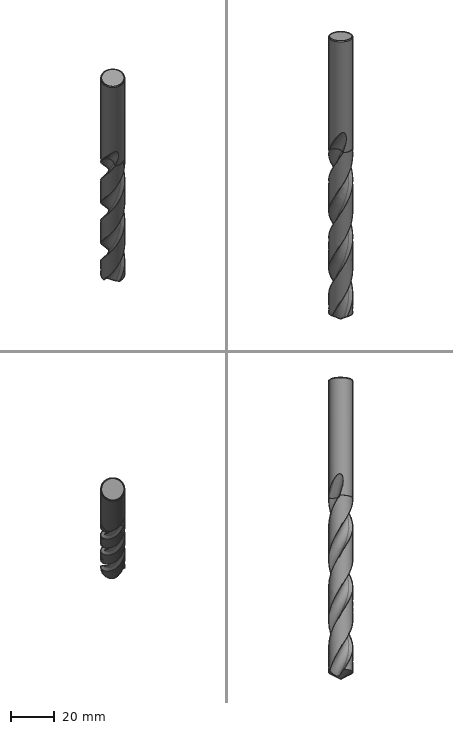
import cadquery as cq
import math

LENGTH = 142.0
DIAMETER = 11.1
RADIUS = DIAMETER / 2
POINT_ANGLE = 118.0
POINT_HEIGHT = RADIUS / math.tan(math.radians(POINT_ANGLE / 2))
BODY_TOP = 85.9
SHANK_CHAMFER = 0.4

FLUTE_COUNT = 2
FLUTE_PITCH = 57.4
FLUTE_HALF_OPENING = 40.0
FLUTE_FLOOR_RADIUS = 1.8
LIP_ROOT_RADIUS = 3.7
LIP_ROOT_ANGLE = 37.0
CUTTER_OVERSIZE = 2.8
ENVELOPE_SCALE = 2.0
TOP_DIRECTION = -90.0

RUNOUT_HEIGHT = 14.2
RUNOUT_SIDE_SLOPE = 2 * math.pi * RADIUS / FLUTE_PITCH
RUNOUT_RISE_SLOPE = 0.15


def polar(radius, degrees):
    angle = math.radians(degrees)
    return (radius * math.cos(angle), radius * math.sin(angle))


def turned(outline):
    """Revolve a half outline of (radius, height) points about Z."""
    return cq.Workplane("XZ").polyline(outline).close().revolve(360, (0, 0), (0, 1))


def flute_section(direction, height):
    """Closed section of one flute cutter, opening toward the given direction."""
    outside = (RADIUS + CUTTER_OVERSIZE) / math.cos(math.radians(FLUTE_HALF_OPENING))
    return (
        cq.Workplane("XY", origin=(0, 0, height))
        .transformed(rotate=(0, 0, direction))
        .moveTo(*polar(outside, -FLUTE_HALF_OPENING))
        .lineTo(*polar(RADIUS, -FLUTE_HALF_OPENING))
        .threePointArc((FLUTE_FLOOR_RADIUS, 0), polar(LIP_ROOT_RADIUS, LIP_ROOT_ANGLE))
        .lineTo(*polar(RADIUS, FLUTE_HALF_OPENING))
        .lineTo(*polar(outside, FLUTE_HALF_OPENING))
        .close()
    )


def flute_runout(top_direction):
    outward = cq.Vector(*polar(RUNOUT_RISE_SLOPE, top_direction))
    sideways = cq.Vector(*polar(RUNOUT_SIDE_SLOPE, top_direction + 90))
    path = (outward + sideways + cq.Vector(0, 0, 1)) * RUNOUT_HEIGHT
    section = flute_section(top_direction, BODY_TOP).wires().val()
    return cq.Workplane(cq.Solid.extrudeLinear(section, [], path))


def make_fluted_body(directions):
    """Twist the fluted section up the body, then grind the conical point."""
    twist = 360 * BODY_TOP / FLUTE_PITCH
    section = cq.Workplane("XY").circle(RADIUS).extrude(BODY_TOP)
    for direction in directions:
        section = section.cut(flute_section(direction - twist, 0).extrude(BODY_TOP))
    outline = section.faces("<Z").wires().val()
    body = cq.Workplane("XY").add(outline).toPending().twistExtrude(BODY_TOP, twist)

    envelope_radius = RADIUS * ENVELOPE_SCALE
    envelope = turned([
        (0, 0),
        (envelope_radius, POINT_HEIGHT * ENVELOPE_SCALE),
        (envelope_radius, LENGTH),
        (0, LENGTH),
    ])
    return body.intersect(envelope)


def make_shank(directions):
    shank = turned([
        (0, BODY_TOP),
        (RADIUS, BODY_TOP),
        (RADIUS, LENGTH - SHANK_CHAMFER),
        (RADIUS - SHANK_CHAMFER, LENGTH),
        (0, LENGTH),
    ])
    for direction in directions:
        shank = shank.cut(flute_runout(direction))
    return shank


flute_directions = [TOP_DIRECTION + i * 360 / FLUTE_COUNT for i in range(FLUTE_COUNT)]
fluted_body = make_fluted_body(flute_directions)
shank = make_shank(flute_directions)

result = cq.Compound.makeCompound([fluted_body.solids().val(), shank.solids().val()])